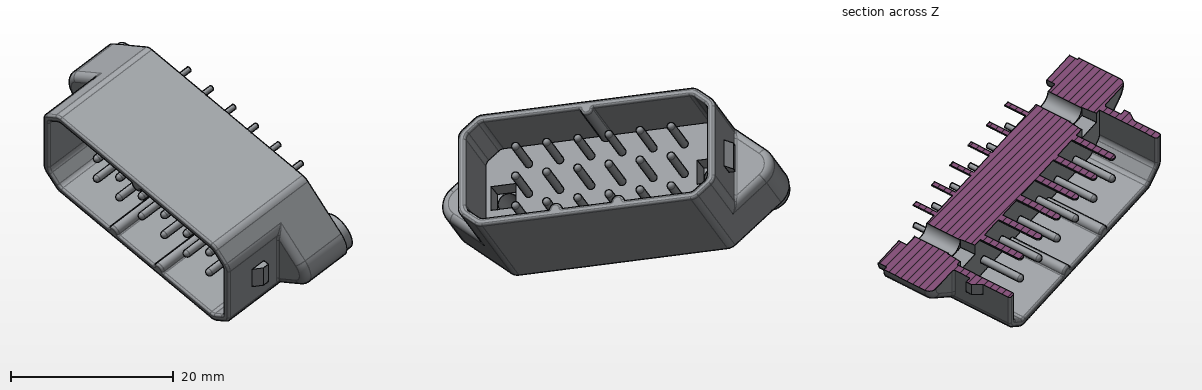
import cadquery as cq
import math


total_length = 42.6
shell_height = 15.0
shell_depth = 15.5
shell_end_x = 16.5
slope_angle = math.radians(40)
slope_start_x = 13.95
corner_radius = 1.5
rim_round = 0.3
ear_thickness = 7.1
ear_edge_round = 1.0
ear_root_round = 0.3

wall = 1.0
cavity_depth = 8.5
cavity_corner_radius = 1.0
rib_radius = 0.8
rib_root_round = 0.15
upper_rib_positions = [0.0]
lower_rib_positions = [-4.0, 4.0]

pin_pitch = 4.0
pin_columns = 6
pin_rows = 3
contact_diameter = 1.0
contact_length = 6.0
tail_diameter = 0.7
tail_length = 3.1

guide_x = 13.25
guide_diameter = 2.6
pocket_size = 3.2
pocket_bottom_size = 2.75
pocket_depth = 2.0

peg_x = 18.5
peg_height = 1.2
left_peg_diameter = 4.5
right_peg_diameter = 5.05

latch_width = 3.5
latch_reach = 0.8
latch_back = 9.5
latch_crest = 10.3
latch_front = 11.5

half_height = shell_height / 2
slope = math.tan(slope_angle)
apex_x = slope_start_x + half_height / slope
tip_radius = (apex_x - total_length / 2) * math.sin(slope_angle) / (1 - math.sin(slope_angle))
cavity_half_height = half_height - wall
floor_y = cavity_depth - shell_depth


def prism_along_y(points, y_front, y_back):
    """Extrude an X-Z outline between two Y positions."""
    return (
        cq.Workplane("XZ", origin=(0, y_back, 0))
        .polyline(points)
        .close()
        .extrude(y_back - y_front)
    )


def cylinder_along_y(x, z, diameter, y_front, y_back):
    return (
        cq.Workplane("XZ", origin=(x, y_back, z))
        .circle(diameter / 2)
        .extrude(y_back - y_front)
    )


def make_shell_outline(inset=0.0):
    """Eight-sided shell block with rounded corners, shrunk evenly by inset."""
    half_edge = slope_start_x - inset * math.tan(slope_angle / 2)
    end_x = shell_end_x - inset
    top_z = half_height - inset
    end_z = top_z - (end_x - half_edge) * slope
    return [
        (half_edge, top_z),
        (end_x, end_z),
        (end_x, -end_z),
        (half_edge, -top_z),
        (-half_edge, -top_z),
        (-end_x, -end_z),
        (-end_x, end_z),
        (-half_edge, top_z),
    ]


def make_shell():
    shell = prism_along_y(make_shell_outline(), -shell_depth, 0)
    return shell.edges("|Y").fillet(corner_radius)


def make_ears():
    """Hexagonal plate spanning the part, whose rounded tips are the mounting ears."""
    outline = [
        (slope_start_x, half_height),
        (apex_x, 0),
        (slope_start_x, -half_height),
        (-slope_start_x, -half_height),
        (-apex_x, 0),
        (-slope_start_x, half_height),
    ]
    plate = prism_along_y(outline, -ear_thickness, 0)
    plate = plate.edges("|Y and (>X or <X)").fillet(tip_radius)
    plate = plate.edges("|Y and (>Z or <Z)").fillet(corner_radius)
    return plate.faces("<Y").edges().fillet(ear_edge_round)


def make_cavity():
    """Cavity volume, notched where the keying ribs stay standing."""
    cavity = prism_along_y(make_shell_outline(wall), -shell_depth, floor_y)
    cavity = cavity.edges("|Y").fillet(cavity_corner_radius)
    rib_places = [(x, cavity_half_height) for x in upper_rib_positions]
    rib_places += [(x, -cavity_half_height) for x in lower_rib_positions]
    for x, z in rib_places:
        cavity = cavity.cut(cylinder_along_y(x, z, 2 * rib_radius, -shell_depth, floor_y))
        root_size = 2 * rib_radius + rib_root_round
        root_box = cq.selectors.BoxSelector(
            (x - root_size / 2, -shell_depth, z - rib_root_round),
            (x + root_size / 2, floor_y, z + rib_root_round),
        )
        cavity = cavity.edges("|Y").edges(root_box).fillet(rib_root_round)
    return cavity


def make_pin(x, z):
    """Round-nosed contact in the cavity with a thinner solder tail at the rear."""
    nose = contact_diameter / 2
    tip_y = floor_y - contact_length
    return (
        cq.Workplane("XY", origin=(x, 0, z))
        .moveTo(0, tip_y)
        .radiusArc((nose, tip_y + nose), -nose)
        .lineTo(nose, floor_y)
        .lineTo(tail_diameter / 2, floor_y)
        .lineTo(tail_diameter / 2, tail_length)
        .lineTo(0, tail_length)
        .close()
        .revolve(360, (0, 0, 0), (0, 1, 0))
    )


def make_guide_opening(x):
    pocket = (
        cq.Workplane("XZ", origin=(x, floor_y, 0))
        .rect(pocket_size, pocket_size)
        .workplane(offset=-pocket_depth)
        .rect(pocket_bottom_size, pocket_bottom_size)
        .loft()
    )
    return pocket.union(cylinder_along_y(x, 0, guide_diameter, floor_y, 0))


def make_latch(side):
    """Wedge on one shell end: square toward the rear, sloping toward the front."""
    return (
        cq.Workplane("XY", origin=(0, 0, -latch_width / 2))
        .moveTo(side * (shell_end_x - wall / 2), -latch_back)
        .lineTo(side * (shell_end_x + latch_reach), -latch_back)
        .lineTo(side * (shell_end_x + latch_reach), -latch_crest)
        .lineTo(side * shell_end_x, -latch_front)
        .lineTo(side * (shell_end_x - wall / 2), -latch_front)
        .close()
        .extrude(latch_width)
    )


def make_body():
    """Shell and ears joined, blended where each ear meets the end of the shell."""
    body = make_shell().union(make_ears())
    margin = 0.1
    for side in (-1, 1):
        ear_root = cq.selectors.BoxSelector(
            (side * (shell_end_x + margin), -ear_thickness - margin, -half_height),
            (side * (shell_end_x - wall), -ear_thickness + ear_edge_round, half_height),
        )
        body = body.edges(ear_root).fillet(ear_root_round)
    body = body.cut(make_cavity())
    return body.faces("<Y").edges().fillet(rim_round)


body = make_body()

for side, peg_diameter in [(-1, left_peg_diameter), (1, right_peg_diameter)]:
    body = body.union(make_latch(side))
    body = body.union(cylinder_along_y(side * peg_x, 0, peg_diameter, -ear_thickness / 2, peg_height))
    body = body.cut(make_guide_opening(side * guide_x))

for column in range(pin_columns):
    for row in range(pin_rows):
        pin_x = (column - (pin_columns - 1) / 2) * pin_pitch
        pin_z = (row - (pin_rows - 1) / 2) * pin_pitch
        body = body.union(make_pin(pin_x, pin_z))

result = body